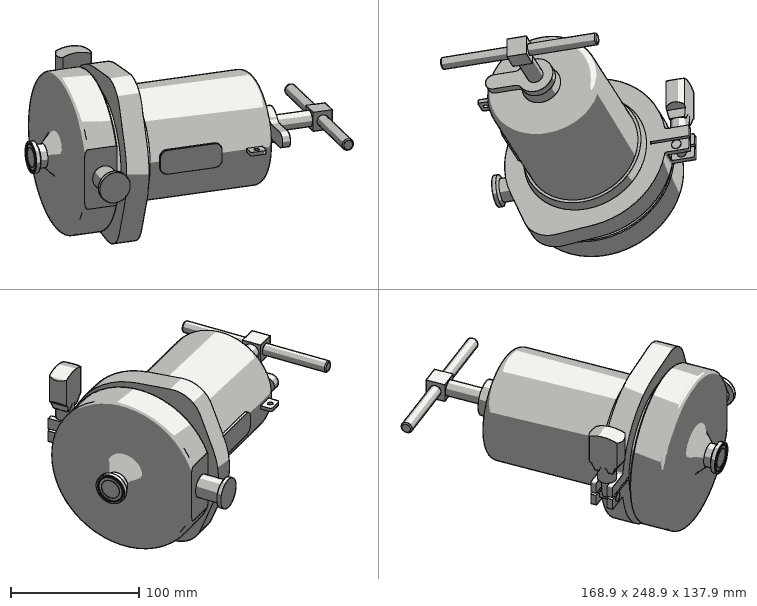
import cadquery as cq
import math


edge_search_margin = 1.0

lid_radius = 65.0
lid_depth = 27.3
lid_front_fillet = 3.0
lid_back_chamfer = 0.8
lid_flat_x = 60.0
seat_radius = 53.6
seat_lip_radius = 54.3
seat_lip_width = 1.5
collar_front_radius = 50.3
collar_back_radius = 48.2
collar_back_y = 59.5
body_radius = 45.75
body_back_y = 163.8
body_back_fillet = 6.5

tube_radius = 9.525
ferrule_radius = 12.7
ferrule_thickness = 3.4
ferrule_taper = 1.6
gasket_groove_inner_radius = 10.4
gasket_groove_outer_radius = 11.4
gasket_groove_depth = 0.5
bore_recess_radius = 7.9
bore_recess_depth = 0.2
front_nozzle_end_y = -21.9
flare_foot_radius = 24.7
flare_fillet = 9.75
flare_angle = math.radians(45)
side_nozzle_end_x = 84.01
side_nozzle_y = 16.4

clamp_front_y = 33.0
clamp_width = 18.6
clamp_back_y = clamp_front_y + clamp_width
clamp_mid_y = clamp_front_y + clamp_width / 2
clamp_radius = 66.2
ear_radius = 25.7
ear_height = 68.97
ear_angle = math.radians(58.7)
lug_reach = 84.9
lug_height = 10.6
lug_gap = 2.0
lug_corner_fillet = 1.0
lug_root_fillet = 2.0
bolt_slot_width = 9.4
bolt_x = -74.6
bolt_radius = 4.25
hinge_z = -4.9
pin_radius = 3.85
pin_end_recess = 0.2

hub_radius = 7.5
wing_half_thickness = 7.65
wing_half_width = 14.2
wing_face_half_width = 11.7
wing_bottom_z = 26.4
wing_bottom_half_width = 9.8
wing_top_z = 54.3
wing_shoulder_z = 50.7
wing_side_bottom_z = 30.5
wing_taper_z = 20.1
wing_taper_half_thickness = 6.3

neck_foot_radius = 15.8
neck_top_radius = 13.4
lever_back_y = 179.7
lever_thickness = 6.7
lever_front_y = lever_back_y - lever_thickness
lever_disc_radius = 14.6
lever_reach = 40.7
lever_half_width = 6.3
lever_blend_radius = 5.5
spindle_radius = 6.5
block_size = 16.0
block_back_y = 227.02
handle_length = 127.5
handle_radius = 4.76
handle_chamfer = 1.0

tab_reach = 55.4
tab_width = 13.2
tab_thickness = 3.0
tab_y = 147.5
tab_corner_radius = 2.0
tab_hole_x = 50.7
tab_hole_radius = 2.0
plate_outer_x = 47.9
plate_thickness = 2.2
plate_length = 51.5
plate_width = 20.0
plate_corner_radius = 6.0
plate_mid_y = 94.0


def cylinder_along_y(radius, y_start, y_end):
    """Cylinder on the main axis between two Y positions."""
    return cq.Workplane("XZ", origin=(0, y_start, 0)).circle(radius).extrude(y_start - y_end)


def box_between(x_range, y_range, z_range):
    """Box spanning the given (low, high) ranges."""
    spans = (x_range, y_range, z_range)
    sizes = [high - low for low, high in spans]
    middle = tuple((low + high) / 2 for low, high in spans)
    return cq.Workplane("XY").box(*sizes).translate(middle)


def fillet_edge_along_y(part, x, z, radius):
    """Fillet the edge that runs along Y through the given X and Z."""
    reach = edge_search_margin
    outline = part.val().BoundingBox()
    near_edge = cq.selectors.BoxSelector(
        (x - reach, outline.ymin - reach, z - reach),
        (x + reach, outline.ymax + reach, z + reach),
    )
    return part.edges("|Y").edges(near_edge).fillet(radius)


def make_lid():
    """Round lid with a rounded front rim and one flat side."""
    lid = cylinder_along_y(lid_radius, 0, lid_depth)
    lid = lid.faces("<Y").edges().fillet(lid_front_fillet)
    lid = lid.faces(">Y").edges().chamfer(lid_back_chamfer)
    keep = box_between((-lid_radius, lid_flat_x), (0, lid_depth), (-lid_radius, lid_radius))
    return lid.intersect(keep)


def make_body():
    """Flange seat, tapered collar and cylindrical body behind the lid."""
    seat = cylinder_along_y(seat_radius, lid_depth, clamp_back_y)
    lip = cylinder_along_y(seat_lip_radius, lid_depth, lid_depth + seat_lip_width)
    collar = (
        cq.Workplane("XY")
        .moveTo(0, clamp_back_y)
        .lineTo(collar_front_radius, clamp_back_y)
        .lineTo(collar_back_radius, collar_back_y)
        .lineTo(0, collar_back_y)
        .close()
        .revolve(360, (0, 0), (0, 1))
    )
    body = cylinder_along_y(body_radius, collar_back_y, body_back_y)
    body = body.faces(">Y").edges().fillet(body_back_fillet)
    return seat.union(lip).union(collar).union(body)


def make_front_nozzle():
    """Conical flare blended into the lid, then a tube and ferrule with a gasket groove."""
    fillet_depth = flare_fillet * (1 - math.cos(flare_angle))
    fillet_middle_depth = flare_fillet * (1 - math.cos(flare_angle / 2))
    fillet_middle_radius = flare_foot_radius - flare_fillet * math.sin(flare_angle / 2)
    cone_foot_radius = flare_foot_radius - flare_fillet * math.sin(flare_angle)
    cone_end_y = -fillet_depth - (cone_foot_radius - tube_radius) * math.tan(flare_angle)
    ferrule_back_y = front_nozzle_end_y + ferrule_thickness
    nozzle = (
        cq.Workplane("XY")
        .moveTo(0, lid_front_fillet)
        .lineTo(flare_foot_radius, lid_front_fillet)
        .lineTo(flare_foot_radius, 0)
        .threePointArc((fillet_middle_radius, -fillet_middle_depth), (cone_foot_radius, -fillet_depth))
        .lineTo(tube_radius, cone_end_y)
        .lineTo(tube_radius, ferrule_back_y + ferrule_taper)
        .lineTo(ferrule_radius, ferrule_back_y)
        .lineTo(ferrule_radius, front_nozzle_end_y)
        .lineTo(0, front_nozzle_end_y)
        .close()
        .revolve(360, (0, 0), (0, 1))
    )
    groove_bottom_y = front_nozzle_end_y + gasket_groove_depth
    groove = cylinder_along_y(gasket_groove_outer_radius, front_nozzle_end_y, groove_bottom_y).cut(
        cylinder_along_y(gasket_groove_inner_radius, front_nozzle_end_y, groove_bottom_y)
    )
    recess = cylinder_along_y(
        bore_recess_radius, front_nozzle_end_y, front_nozzle_end_y + bore_recess_depth
    )
    return nozzle.cut(groove).cut(recess)


def make_side_nozzle():
    """Tube and ferrule standing on the flat side of the lid."""
    ferrule_back_x = side_nozzle_end_x - ferrule_thickness
    buried_x = lid_flat_x - lid_front_fillet
    return (
        cq.Workplane("XY", origin=(0, side_nozzle_y, 0))
        .moveTo(buried_x, 0)
        .lineTo(buried_x, tube_radius)
        .lineTo(ferrule_back_x - ferrule_taper, tube_radius)
        .lineTo(ferrule_back_x, ferrule_radius)
        .lineTo(side_nozzle_end_x, ferrule_radius)
        .lineTo(side_nozzle_end_x, 0)
        .close()
        .revolve(360, (0, 0), (1, 0))
    )


def make_ear(side):
    """Clamp ear on the +Z (side = 1) or -Z (side = -1) side, tangent to the clamp ring."""
    centre_z = ear_height - ear_radius
    centre_x = centre_z / math.tan(ear_angle)
    centre_distance = math.hypot(centre_x, centre_z)
    half_wrap = math.acos((clamp_radius - ear_radius) / centre_distance)

    def ring_point(angle):
        return (clamp_radius * math.cos(angle), side * clamp_radius * math.sin(angle))

    def ear_point(angle):
        x = centre_x + ear_radius * math.cos(angle)
        z = centre_z + ear_radius * math.sin(angle)
        return (x, side * z)

    upper = ear_angle + half_wrap
    lower = ear_angle - half_wrap
    return (
        cq.Workplane("XZ", origin=(0, clamp_front_y, 0))
        .lineTo(*ring_point(upper))
        .lineTo(*ear_point(upper))
        .threePointArc(ear_point(ear_angle), ear_point(lower))
        .lineTo(*ring_point(lower))
        .close()
        .extrude(-clamp_width)
    )


def make_clamp():
    """Clamp ring with ears, split lugs on -X, the bolt slot and the pin hole."""
    y_range = (clamp_front_y, clamp_back_y)
    clamp = cylinder_along_y(clamp_radius, *y_range)
    lug = box_between((-lug_reach, 0), y_range, (-lug_height, lug_height))
    lug = lug.edges("|Y and <X").fillet(lug_corner_fillet)
    clamp = clamp.union(lug)
    root_x = -math.sqrt(clamp_radius**2 - lug_height**2)
    for side in (-1, 1):
        clamp = fillet_edge_along_y(clamp, root_x, side * lug_height, lug_root_fillet)
    for side in (-1, 1):
        clamp = clamp.union(make_ear(side))

    split = box_between((-lug_reach, -seat_radius), y_range, (-lug_gap / 2, lug_gap / 2))
    slot_y = (clamp_mid_y - bolt_slot_width / 2, clamp_mid_y + bolt_slot_width / 2)
    slot = box_between((-lug_reach, -clamp_radius), slot_y, (-lug_height, lug_height))
    pin_hole = cylinder_along_y(pin_radius, *y_range).translate((bolt_x, 0, hinge_z))
    return clamp.cut(split).cut(slot).cut(pin_hole)


def make_clamp_bolt():
    """Bolt hinged on a cross pin that sits just below the lug faces."""
    pin_front_y = clamp_front_y + pin_end_recess
    pin_back_y = clamp_back_y - pin_end_recess
    pin = cylinder_along_y(pin_radius, pin_front_y, pin_back_y).translate((bolt_x, 0, hinge_z))
    shank = (
        cq.Workplane("XY", origin=(bolt_x, clamp_mid_y, hinge_z))
        .circle(bolt_radius)
        .extrude(lug_height - hinge_z)
    )
    return pin.union(shank)


def make_wing_nut():
    """Round hub below a flat-faced head with curved ends, a domed top and a tapered foot."""
    hub = (
        cq.Workplane("XY", origin=(bolt_x, clamp_mid_y, lug_height))
        .circle(hub_radius)
        .extrude(wing_bottom_z - lug_height)
    )
    plan = (
        cq.Workplane("XY", origin=(bolt_x, clamp_mid_y, wing_taper_z))
        .moveTo(-wing_half_thickness, -wing_face_half_width)
        .threePointArc((0, -wing_half_width), (wing_half_thickness, -wing_face_half_width))
        .lineTo(wing_half_thickness, wing_face_half_width)
        .threePointArc((0, wing_half_width), (-wing_half_thickness, wing_face_half_width))
        .close()
        .extrude(wing_top_z - wing_taper_z)
    )
    side_profile = (
        cq.Workplane("YZ", origin=(bolt_x - wing_half_thickness, clamp_mid_y, 0))
        .moveTo(-hub_radius, wing_taper_z)
        .lineTo(hub_radius, wing_taper_z)
        .lineTo(wing_bottom_half_width, wing_bottom_z)
        .lineTo(wing_half_width, wing_side_bottom_z)
        .lineTo(wing_half_width, wing_shoulder_z)
        .threePointArc((0, wing_top_z), (-wing_half_width, wing_shoulder_z))
        .lineTo(-wing_half_width, wing_side_bottom_z)
        .lineTo(-wing_bottom_half_width, wing_bottom_z)
        .close()
        .extrude(2 * wing_half_thickness)
    )
    end_profile = (
        cq.Workplane("XZ", origin=(bolt_x, clamp_mid_y - wing_half_width, 0))
        .moveTo(-wing_taper_half_thickness, wing_taper_z)
        .lineTo(wing_taper_half_thickness, wing_taper_z)
        .lineTo(wing_half_thickness, wing_bottom_z)
        .lineTo(wing_half_thickness, wing_top_z)
        .lineTo(-wing_half_thickness, wing_top_z)
        .lineTo(-wing_half_thickness, wing_bottom_z)
        .close()
        .extrude(-2 * wing_half_width)
    )
    return hub.union(plan.intersect(side_profile).intersect(end_profile))


def make_lever():
    """Round disc with a round-ended arm toward +X, blended on both sides."""
    disc = cylinder_along_y(lever_disc_radius, lever_front_y, lever_back_y)
    arm_end_x = lever_reach - lever_half_width
    arm = box_between(
        (0, arm_end_x), (lever_front_y, lever_back_y), (-lever_half_width, lever_half_width)
    )
    lever = disc.union(arm)
    root_x = math.sqrt(lever_disc_radius**2 - lever_half_width**2)
    for side in (-1, 1):
        lever = fillet_edge_along_y(lever, root_x, side * lever_half_width, lever_blend_radius)
    round_end = cylinder_along_y(lever_half_width, lever_front_y, lever_back_y)
    return lever.union(round_end.translate((arm_end_x, 0, 0)))


def make_spindle():
    """Tapered neck and spindle carrying a square block with a cross handle."""
    neck = (
        cq.Workplane("XY")
        .moveTo(0, body_back_y)
        .lineTo(neck_foot_radius, body_back_y)
        .lineTo(neck_top_radius, lever_front_y)
        .lineTo(0, lever_front_y)
        .close()
        .revolve(360, (0, 0), (0, 1))
    )
    block_mid_y = block_back_y - block_size / 2
    spindle = cylinder_along_y(spindle_radius, lever_back_y, block_mid_y)
    block = cq.Workplane("XY").box(block_size, block_size, block_size)
    handle = (
        cq.Workplane("YZ")
        .circle(handle_radius)
        .extrude(handle_length / 2, both=True)
        .faces("<X or >X")
        .edges()
        .chamfer(handle_chamfer)
    )
    grip = block.union(handle).translate((0, block_mid_y, 0))
    return neck.union(spindle).union(grip)


def make_tab():
    """Small eye plate in the XY plane on the +X side of the body."""
    tab = box_between(
        (body_radius - tab_thickness, tab_reach),
        (tab_y - tab_width / 2, tab_y + tab_width / 2),
        (-tab_thickness / 2, tab_thickness / 2),
    )
    tab = tab.edges("|Z and >X").fillet(tab_corner_radius)
    hole = (
        cq.Workplane("XY", origin=(tab_hole_x, tab_y, 0))
        .circle(tab_hole_radius)
        .extrude(tab_thickness, both=True)
    )
    return tab.cut(hole)


def make_name_plate():
    """Flat plate with rounded corners on the +X side of the body."""
    return (
        cq.Workplane("XY")
        .box(plate_thickness, plate_length, plate_width)
        .edges("|X")
        .fillet(plate_corner_radius)
        .translate((plate_outer_x - plate_thickness / 2, plate_mid_y, 0))
    )


result = (
    make_lid()
    .union(make_body())
    .union(make_front_nozzle())
    .union(make_side_nozzle())
    .union(make_clamp())
    .union(make_clamp_bolt())
    .union(make_wing_nut())
    .union(make_lever())
    .union(make_spindle())
    .union(make_tab())
    .union(make_name_plate())
)